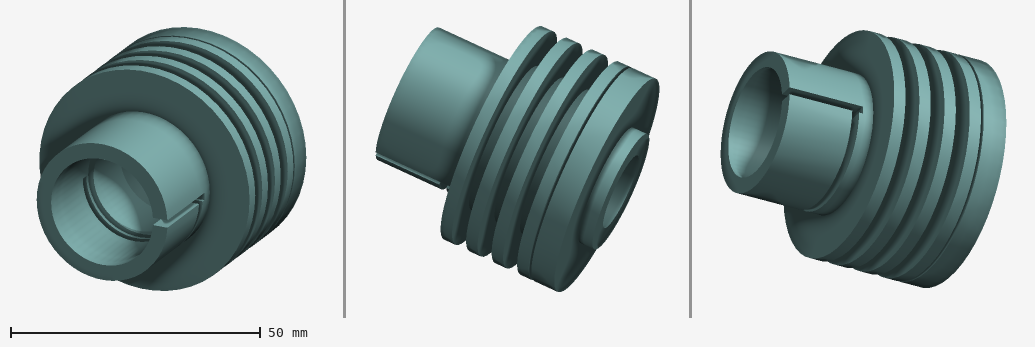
import cadquery as cq
import math

total_length = 47.6

fin_diameter = 47.05
fin_thickness = 2.55
fin_pitch = 5.7
fin_count = 4
core_diameter = 31.8

sleeve_length = 19.0
sleeve_diameter = 29.3
sleeve_bore_diameter = 22.8
cut_width = 1.55
clamp_length = 14.25
sleeve_bore_depth = 16.6

boss_diameter = 25.45
boss_length = 3.15
flange_thickness = 5.15
flange_front = total_length - boss_length - flange_thickness

countersink_diameter = 21.1
countersink_angle = 118.0
countersink_shift_x = 0.65
countersink_shift_z = -0.1
passage_diameter = 20.4
passage_depth = 11.9
hole_diameter = 16.0


def disc(diameter, start, length):
    """Solid cylinder on the Y axis running from y = start towards +Y."""
    return cq.Workplane("XZ", origin=(0, start, 0)).circle(diameter / 2).extrude(-length)


def cone(start_diameter, end_diameter, start, length, shift_x=0, shift_z=0):
    """Solid cone along +Y from y = start, its axis shifted in X and Z."""
    return cq.Workplane(
        cq.Solid.makeCone(
            start_diameter / 2,
            end_diameter / 2,
            length,
            pnt=cq.Vector(shift_x, start, shift_z),
            dir=cq.Vector(0, 1, 0),
        )
    )


def make_outer_body():
    body = disc(sleeve_diameter, 0, sleeve_length)
    body = body.union(disc(core_diameter, sleeve_length, flange_front - sleeve_length))
    body = body.union(disc(fin_diameter, flange_front, flange_thickness))
    body = body.union(disc(boss_diameter, total_length - boss_length, boss_length))
    for index in range(fin_count):
        body = body.union(disc(fin_diameter, sleeve_length + index * fin_pitch, fin_thickness))
    return body


def cut_passage(body):
    body = body.cut(disc(hole_diameter, 0, total_length))
    body = body.cut(disc(sleeve_bore_diameter, 0, sleeve_bore_depth))
    body = body.cut(disc(passage_diameter, sleeve_bore_depth, passage_depth))

    step = (passage_diameter - hole_diameter) / 2
    body = body.cut(cone(passage_diameter, hole_diameter, sleeve_bore_depth + passage_depth, step))

    tip_depth = countersink_diameter / 2 / math.tan(math.radians(countersink_angle / 2))
    return body.cut(
        cone(countersink_diameter, 0, sleeve_bore_depth, tip_depth, countersink_shift_x, countersink_shift_z)
    )


def cut_clamp(body):
    slit = cq.Workplane("XY").box(
        sleeve_diameter, sleeve_bore_depth, cut_width, centered=(False, False, True)
    )

    cross_slot = cq.Workplane("XY", origin=(0, clamp_length, -sleeve_diameter)).box(
        2 * sleeve_diameter, cut_width, sleeve_diameter, centered=(True, False, False)
    )
    return body.cut(slit).cut(cross_slot)


result = cut_clamp(cut_passage(make_outer_body()))